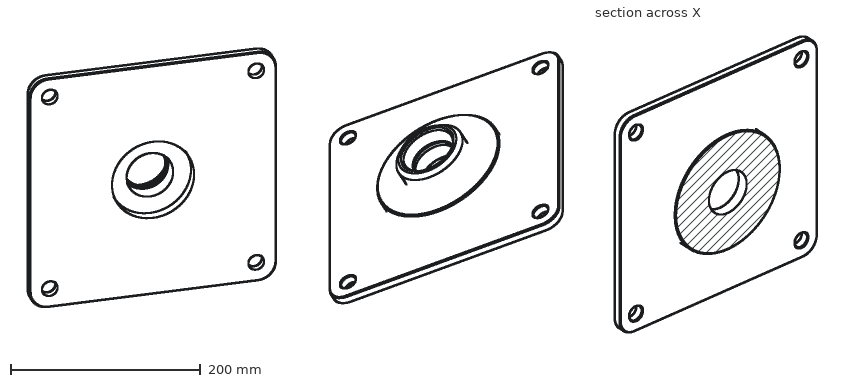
import cadquery as cq
import math

plate_side = 270.0
plate_thickness = 10.0
corner_radius = 20.0
edge_break = 1.0

hole_diameter = 17.0
bolt_circle_diameter = 320.0

total_length = 50.0
disc_diameter = 144.0
disc_height = 15.5
disc_chamfer = 1.5
neck_diameter = 78.0
neck_chamfer = 5.0
root_fillet = 1.0

lip_diameter = 46.5
lip_width = 5.0
rear_bore_diameter = 51.0
rear_pocket_diameter = 90.0
rear_pocket_depth = 12.0
counterbore_diameter = 58.0
counterbore_depth = 14.0
counterbore_fillet = 1.0
mouth_chamfer = 2.0

hole_offset = bolt_circle_diameter / 2 * math.sin(math.radians(45))

plate_front = total_length - plate_thickness
disc_front = plate_front - disc_height


def cylinder(diameter, start, end):
    """Solid cylinder on the X axis between two stations."""
    return cq.Workplane("YZ", origin=(start, 0, 0)).circle(diameter / 2).extrude(end - start)


def cone(start_diameter, end_diameter, start, end):
    """Solid cone frustum on the X axis between two stations."""
    profile = [
        (start, 0),
        (start, start_diameter / 2),
        (end, end_diameter / 2),
        (end, 0),
    ]
    return cq.Workplane("XY").polyline(profile).close().revolve(360, (0, 0, 0), (1, 0, 0))


def make_plate():
    """Rounded square plate with broken edges and four front-chamfered holes."""
    plate = (
        cq.Workplane("YZ", origin=(plate_front, 0, 0))
        .rect(plate_side, plate_side)
        .extrude(plate_thickness)
        .edges("|X")
        .fillet(corner_radius)
        .faces("<X or >X")
        .edges()
        .chamfer(edge_break)
    )
    hole = cylinder(hole_diameter, plate_front, total_length)
    countersink = cone(hole_diameter + 2 * edge_break, hole_diameter, plate_front, plate_front + edge_break)
    tool = hole.union(countersink)
    for y_side in (-1, 1):
        for z_side in (-1, 1):
            plate = plate.cut(tool.translate((0, y_side * hole_offset, z_side * hole_offset)))
    return plate


def make_hub():
    """Disc and neck as one revolved profile, with filleted roots."""
    disc_radius = disc_diameter / 2
    neck_radius = neck_diameter / 2
    fillet_middle = root_fillet * (1 - math.sin(math.radians(45)))
    return (
        cq.Workplane("XY")
        .moveTo(0, 0)
        .lineTo(0, neck_radius - neck_chamfer)
        .lineTo(neck_chamfer, neck_radius)
        .lineTo(disc_front - root_fillet, neck_radius)
        .threePointArc(
            (disc_front - fillet_middle, neck_radius + fillet_middle),
            (disc_front, neck_radius + root_fillet),
        )
        .lineTo(disc_front, disc_radius - disc_chamfer)
        .lineTo(disc_front + disc_chamfer, disc_radius)
        .lineTo(plate_front - root_fillet, disc_radius)
        .threePointArc(
            (plate_front - fillet_middle, disc_radius + fillet_middle),
            (plate_front, disc_radius + root_fillet),
        )
        .lineTo(plate_front, 0)
        .close()
        .revolve(360, (0, 0, 0), (1, 0, 0))
    )


def make_bore():
    """Stepped through bore: front counterbore, narrow lip, rear bore and rear pocket."""
    lip_bore = cylinder(lip_diameter, 0, total_length)
    lip_chamfer = cone(
        lip_diameter + 2 * edge_break,
        lip_diameter,
        counterbore_depth,
        counterbore_depth + edge_break,
    )
    rear_bore = cylinder(rear_bore_diameter, counterbore_depth + lip_width, total_length)
    rear_pocket = cylinder(rear_pocket_diameter, total_length - rear_pocket_depth, total_length)
    counterbore = (
        cylinder(counterbore_diameter, 0, counterbore_depth)
        .faces(">X")
        .edges()
        .fillet(counterbore_fillet)
    )
    mouth = cone(counterbore_diameter + 2 * mouth_chamfer, counterbore_diameter, 0, mouth_chamfer)
    bore = lip_bore
    for section in (lip_chamfer, rear_bore, rear_pocket, counterbore, mouth):
        bore = bore.union(section)
    return bore


result = make_plate().union(make_hub()).cut(make_bore())